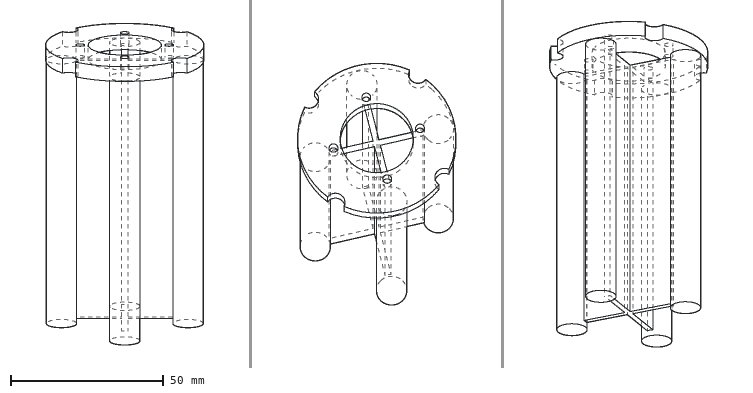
import cadquery as cq
import math

total_height = 95.0
plate_thickness = 5.0
plate_bottom = total_height - plate_thickness

plate_diameter = 52.0
bore_diameter = 24.0
notch_diameter = 6.2
notch_center_radius = plate_diameter / 2
screw_hole_diameter = 2.9
screw_hole_center_radius = 14.6
screw_hole_depth = 4.0

post_diameter = 10.0
post_center_radius = 20.75
web_thickness = 2.0
web_bottom = 2.0

AXIS_ANGLES = (0, 90, 180, 270)
DIAGONAL_ANGLES = (45, 135, 225, 315)


def ring_points(radius, angles):
    """Points at the given angles (degrees) on a circle around the Z axis."""
    return [
        (radius * math.cos(math.radians(angle)), radius * math.sin(math.radians(angle)))
        for angle in angles
    ]


def make_plate():
    """Round plate with a central bore, four rim notches and four blind screw holes."""
    plate = cq.Workplane("XY").workplane(offset=plate_bottom)
    plate = plate.circle(plate_diameter / 2).circle(bore_diameter / 2).extrude(plate_thickness)

    notches = (
        cq.Workplane("XY")
        .workplane(offset=plate_bottom)
        .pushPoints(ring_points(notch_center_radius, AXIS_ANGLES))
        .circle(notch_diameter / 2)
        .extrude(plate_thickness)
    )
    screw_holes = (
        cq.Workplane("XY")
        .workplane(offset=total_height - screw_hole_depth)
        .pushPoints(ring_points(screw_hole_center_radius, DIAGONAL_ANGLES))
        .circle(screw_hole_diameter / 2)
        .extrude(screw_hole_depth)
    )
    return plate.cut(notches).cut(screw_holes)


def make_posts():
    """Four round posts on the diagonals, from Z = 0 up to the plate."""
    return (
        cq.Workplane("XY")
        .pushPoints(ring_points(post_center_radius, DIAGONAL_ANGLES))
        .circle(post_diameter / 2)
        .extrude(plate_bottom)
    )


def make_web(angle):
    """Flat wall through the Z axis, joining the two opposite posts at this angle."""
    return (
        cq.Workplane("XY")
        .workplane(offset=web_bottom)
        .rect(2 * post_center_radius, web_thickness)
        .extrude(plate_bottom - web_bottom)
        .rotate((0, 0, 0), (0, 0, 1), angle)
    )


webs = make_web(45).union(make_web(135))
result = make_plate().union(make_posts()).union(webs)